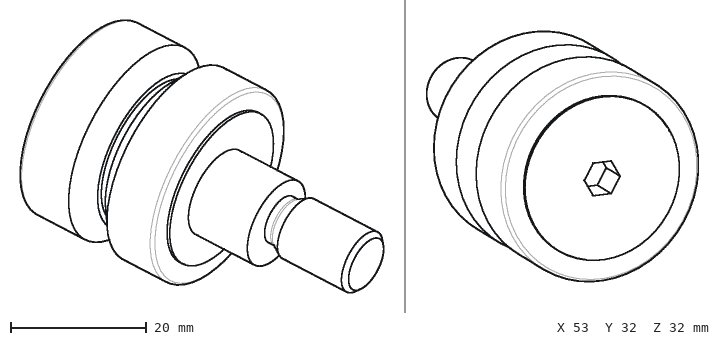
import cadquery as cq
import math


overall_length = 53.0
hub_width = 26.0
hub_step = 0.5
stud_length = 16.0
boss_end = overall_length - stud_length

roller_radius = 16.0
hub_radius = 12.5
rim_fillet = 0.5
rim_start = hub_step
rim_end = hub_width - hub_step

groove_center = 13.4
groove_mouth_width = 7.15
groove_throat_width = 1.45
groove_throat_radius = 12.7
relief_radius = 11.8

boss_radius = 7.0
boss_offset_y = -1.0

stud_radius = 5.0
stud_chamfer = 0.75
neck_radius = 3.85
neck_length = 3.3
neck_cone_angle = 30.0
neck_fillet = 0.8

socket_across_flats = 5.0
socket_depth = 5.0


def revolve_about_x(profile):
    """Turn a closed (x, radius) profile around the X axis."""
    return profile.close().revolve(360, (0, 0, 0), (1, 0, 0))


def make_roller():
    half_mouth = groove_mouth_width / 2
    half_throat = groove_throat_width / 2
    profile = (
        cq.Workplane("XY")
        .lineTo(0, hub_radius)
        .lineTo(rim_start, hub_radius)
        .lineTo(rim_start, roller_radius - rim_fillet)
        .radiusArc((rim_start + rim_fillet, roller_radius), rim_fillet)
        .lineTo(groove_center - half_mouth, roller_radius)
        .lineTo(groove_center - half_throat, groove_throat_radius)
        .lineTo(groove_center - half_throat, relief_radius)
        .lineTo(groove_center + half_throat, relief_radius)
        .lineTo(groove_center + half_throat, groove_throat_radius)
        .lineTo(groove_center + half_mouth, roller_radius)
        .lineTo(rim_end - rim_fillet, roller_radius)
        .radiusArc((rim_end, roller_radius - rim_fillet), rim_fillet)
        .lineTo(rim_end, hub_radius)
        .lineTo(hub_width, hub_radius)
        .lineTo(hub_width, 0)
    )
    return revolve_about_x(profile)


def make_boss():
    return (
        cq.Workplane("YZ", origin=(hub_width, boss_offset_y, 0))
        .circle(boss_radius)
        .extrude(boss_end - hub_width)
    )


def make_stud():
    angle = math.radians(neck_cone_angle)
    neck_end = boss_end + neck_length
    cone_start = neck_end - (stud_radius - neck_radius) / math.tan(angle)

    tangent_length = neck_fillet * math.tan(angle / 2)
    fillet_start = (cone_start - tangent_length, neck_radius)
    fillet_end = (
        cone_start + tangent_length * math.cos(angle),
        neck_radius + tangent_length * math.sin(angle),
    )
    profile = (
        cq.Workplane("XY")
        .moveTo(boss_end, 0)
        .lineTo(boss_end, neck_radius)
        .lineTo(*fillet_start)
        .radiusArc(fillet_end, -neck_fillet)
        .lineTo(neck_end, stud_radius)
        .lineTo(overall_length - stud_chamfer, stud_radius)
        .lineTo(overall_length, stud_radius - stud_chamfer)
        .lineTo(overall_length, 0)
    )
    return revolve_about_x(profile)


def make_socket():
    across_corners = socket_across_flats / math.cos(math.pi / 6)
    return cq.Workplane("YZ").polygon(6, across_corners).extrude(socket_depth)


result = make_roller().union(make_boss()).union(make_stud()).cut(make_socket())